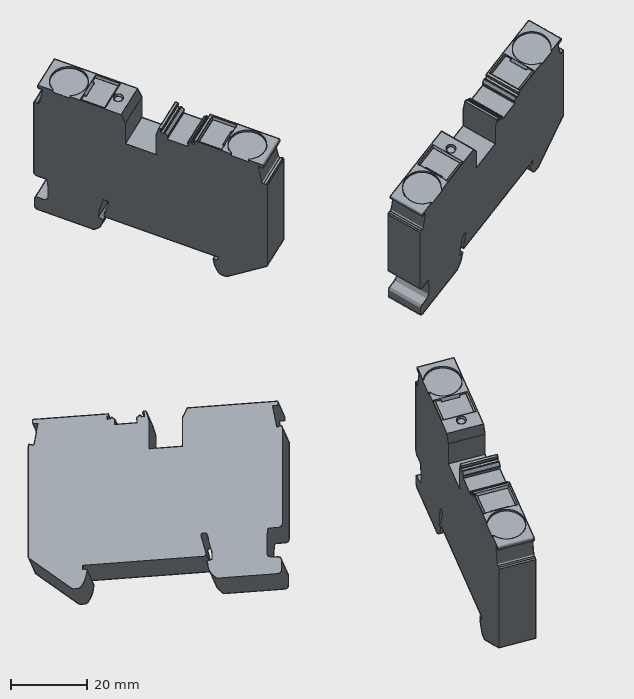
import cadquery as cq
import math

length = 67.8
thickness = 10.2
height = 49.6
mid_x = length / 2

lip_x = 1.1
lip_depth = 1.2
lip_radius = 0.4
neck_top_x = 2.65
neck_bottom_x = 1.5
neck_top_radius = 0.3
neck_foot_radius = 0.2
shoulder_depth = 7.3
ridge_depth = 7.05
ridge_x = 0.3
ridge_foot_depth = 7.5
shoulder_x = 1.1

channel_left = 26.65
channel_right = 35.5
channel_depth = 10.9
channel_left_flare = 1.3
channel_left_flare_depth = 2.7
channel_right_flare = 0.8
channel_right_flare_depth = 3.0

groove_x = 41.75
groove_half_profile = [(4.7, 0), (4.5, 0.6), (4.95, 0.6), (4.95, 1.5), (4.2, 1.5), (3.9, 1.1),
                       (3.65, 1.1), (2.85, 1.8), (2.85, 2.1), (3.0, 2.3), (3.0, 3.2)]

body_bottom = 6.6
body_corner_x = 20.55
body_corner_radius = 0.35
notch_top = 13.3
notch_bottom = 4.9
notch_x = 4.15
notch_corner_x = 3.85
notch_top_radius = 0.5
notch_slope_end = 10.5
notch_bend_radius = 8.15
corner_radius = 1.1
notch_root_radius = 1.55
foot_x = 0.2
foot_tip_x = 20.2
foot_tip_z = 5.2
foot_bulge_x = 19.45
foot_bulge_z = 2.0
foot_bulge_radius = 4.1
foot_bottom_x = 17.55
foot_bottom_radius = 0.7
latch_x = 18.8
latch_z = 5.55
slit_bend = 7.3
slit_right_bend_x = 20.35
slit_left_top_x = 20.2
slit_right_top_x = 21.9
slit_radius = 0.6
hook_root_x = 53.35
hook_tip_x = 52.1
slope_top = 9.9
slope_corner_radius = 0.7
slope_bottom_x = 56.0
hook_bottom_x = 54.0
hook_bottom_radius = 1.35
hook_bulge_x = 52.55
hook_bulge_z = 2.3
hook_bulge_radius = 8.15

recess_depth = 0.7
screw_x = 8.0
screw_y = 4.75
screw_diameter = 10.2
screw_opening_width = 5.0
window_inner_x = 13.4
window_outer_x = 20.6
window_front_y = 0.15
window_back_y = 9.7
window_front_draft = 0.75
window_back_draft = 0.4
window_side_draft = 0.5
ramp_run = 0.7
ramp_width = 5.15
ramp_y = 4.95
test_hole_x = 22.2
test_hole_y = thickness / 2
test_hole_top_diameter = 2.65
test_hole_floor_diameter = 2.1


def rounded_outline(corners):
    """Closed XZ outline through (x, z, radius) corners; a radius above 0 rounds that corner."""
    pieces = []
    for i, (x, z, radius) in enumerate(corners):
        corner = cq.Vector(x, z)
        if radius == 0:
            pieces.append((corner, None, corner))
            continue
        before = corners[i - 1]
        after = corners[(i + 1) % len(corners)]
        to_before = (cq.Vector(before[0], before[1]) - corner).normalized()
        to_after = (cq.Vector(after[0], after[1]) - corner).normalized()
        half_angle = to_before.getAngle(to_after) / 2
        tangent = radius / math.tan(half_angle)
        bulge = radius / math.sin(half_angle) - radius
        middle = corner + (to_before + to_after).normalized() * bulge
        pieces.append((corner + to_before * tangent, middle, corner + to_after * tangent))

    sketch = cq.Workplane("XZ").moveTo(pieces[0][2].x, pieces[0][2].y)
    for start, middle, end in pieces[1:] + pieces[:1]:
        sketch = sketch.lineTo(start.x, start.y)
        if middle is not None:
            sketch = sketch.threePointArc(middle.toTuple()[:2], end.toTuple()[:2])
    return sketch.close()


def end_corners():
    """Left end from the shoulder up to the lip."""
    return [
        (0, height - ridge_foot_depth, 0),
        (ridge_x, height - ridge_depth, 0),
        (shoulder_x, height - shoulder_depth, 0),
        (neck_bottom_x, height - shoulder_depth, neck_foot_radius),
        (neck_top_x, height - lip_depth, neck_top_radius),
        (lip_x, height - lip_depth, lip_radius),
        (lip_x, height, lip_radius),
    ]


def top_corners():
    """Wire channel and marker groove, from left to right."""
    channel = [
        (channel_left - channel_left_flare, height, 0),
        (channel_left, height - channel_left_flare_depth, 0),
        (channel_left, height - channel_depth, 0),
        (channel_right, height - channel_depth, 0),
        (channel_right, height - channel_right_flare_depth, 0),
        (channel_right + channel_right_flare, height, 0),
    ]
    groove_left = [(groove_x - half, height - depth, 0) for half, depth in groove_half_profile]
    groove_right = [(groove_x + half, height - depth, 0) for half, depth in groove_half_profile]
    return channel + groove_left + groove_right[::-1]


def rail_corners():
    """Underside from the right end to the left end: hook, rail seat, spring slit, foot, notch."""
    return [
        (length, slope_top, slope_corner_radius),
        (slope_bottom_x, 0, hook_bottom_radius),
        (hook_bottom_x, 0, hook_bottom_radius),
        (hook_bulge_x, hook_bulge_z, hook_bulge_radius),
        (hook_tip_x, foot_tip_z, 0),
        (hook_root_x, latch_z, 0),
        (hook_root_x, body_bottom, 0),
        (body_corner_x, body_bottom, body_corner_radius),
        (slit_right_bend_x, slit_bend, 0),
        (slit_right_top_x, notch_top, slit_radius),
        (slit_left_top_x, notch_top, slit_radius),
        (latch_x, slit_bend, 0),
        (latch_x, latch_z, 0),
        (foot_tip_x, foot_tip_z, 0),
        (foot_bulge_x, foot_bulge_z, foot_bulge_radius),
        (foot_bottom_x, 0, foot_bottom_radius),
        (foot_x, 0, corner_radius),
        (foot_x, notch_bottom, corner_radius),
        (notch_x, notch_bottom, notch_root_radius),
        (notch_x, notch_slope_end, notch_bend_radius),
        (notch_corner_x, notch_top, notch_top_radius),
        (0, notch_top, corner_radius),
    ]


def body():
    left_end = end_corners()
    right_end = [(length - x, z, radius) for x, z, radius in left_end[::-1]]
    outline = rounded_outline(left_end + top_corners() + right_end + rail_corners())
    return outline.extrude(-thickness)


def screw_recess():
    """Round recess that breaks out through the front face along a short straight opening."""
    floor = cq.Workplane("XY", origin=(screw_x, 0, height - recess_depth))
    disc = floor.center(0, screw_y).circle(screw_diameter / 2).extrude(recess_depth)
    opening = floor.rect(screw_opening_width, 2 * screw_y).extrude(recess_depth)
    return disc.union(opening)


def window_recess():
    """Rectangular recess with three drafted walls and a ramp on its upright wall."""
    top_rim = [(window_inner_x, window_front_y), (window_outer_x, window_front_y),
               (window_outer_x, window_back_y), (window_inner_x, window_back_y)]
    floor_outer_x = window_outer_x - window_side_draft
    floor_front_y = window_front_y + window_front_draft
    floor_back_y = window_back_y - window_back_draft
    floor_rim = [(window_inner_x, floor_front_y), (floor_outer_x, floor_front_y),
                 (floor_outer_x, floor_back_y), (window_inner_x, floor_back_y)]
    recess = (cq.Workplane("XY", origin=(0, 0, height)).polyline(top_rim).close()
              .workplane(offset=-recess_depth).polyline(floor_rim).close()
              .loft(ruled=True))
    floor_z = height - recess_depth
    ramp = (cq.Workplane("XZ", origin=(0, ramp_y, 0))
            .polyline([(window_inner_x, height), (window_inner_x, floor_z),
                       (window_inner_x + ramp_run, floor_z)]).close()
            .extrude(ramp_width / 2, both=True))
    return recess.cut(ramp)


def test_hole():
    return (cq.Workplane("XY", origin=(test_hole_x, test_hole_y, height))
            .circle(test_hole_top_diameter / 2)
            .workplane(offset=-recess_depth).circle(test_hole_floor_diameter / 2)
            .loft(ruled=True))


result = body()
for recess in (screw_recess(), window_recess()):
    result = result.cut(recess).cut(recess.mirror("YZ", (mid_x, 0, 0)))
result = result.cut(test_hole())